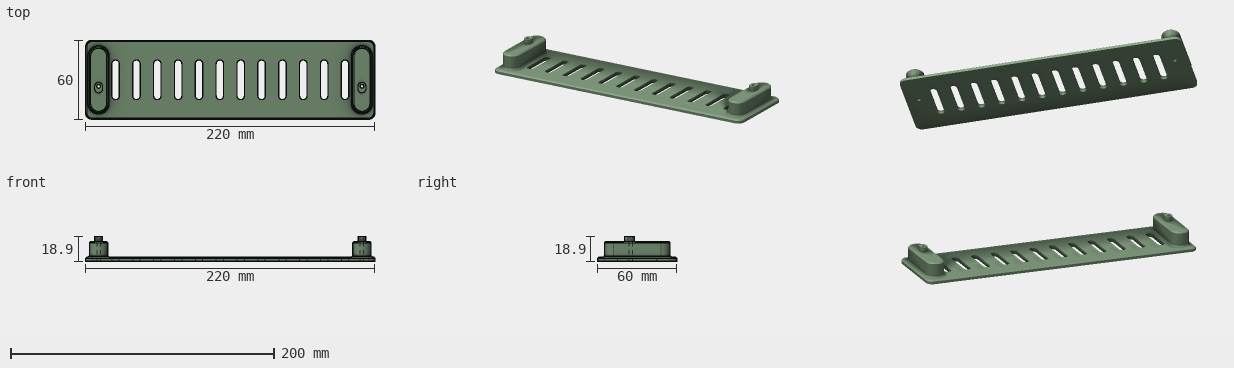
import cadquery as cq

plate_length = 220.0
plate_width = 60.0
plate_thickness = 3.0
plate_corner_radius = 5.0
plate_chamfer = 1.0

slot_count = 12
slot_pitch = 15.8
slot_length = 30.0
slot_width = 5.5

boss_length = 50.0
boss_width = 14.0
boss_height = 11.9
boss_spacing = 200.0
boss_chamfer = 1.0
foot_flare = 1.0
boss_center_x = boss_spacing / 2

pin_width = 6.0
pin_straight = 2.0
pin_length = pin_width + pin_straight
pin_height = 4.0
pin_center_y = -6.0
hole_diameter = 2.6
hole_center_y = pin_center_y + pin_straight / 2

boss_top = plate_thickness + boss_height
total_height = boss_top + pin_height


def oblong(length, width, height, center_x, center_y, bottom):
    """Round-ended solid with its long axis along Y."""
    return (
        cq.Workplane("XY", origin=(center_x, center_y, bottom))
        .slot2D(length, width, 90)
        .extrude(height)
    )


def base_plate():
    """Rounded plate with a chamfered top rim and a row of slots."""
    plate = (
        cq.Workplane("XY")
        .rect(plate_length, plate_width)
        .extrude(plate_thickness)
        .edges("|Z")
        .fillet(plate_corner_radius)
        .faces(">Z")
        .edges()
        .chamfer(plate_chamfer)
    )
    slots = (
        cq.Workplane("XY")
        .rarray(slot_pitch, 2.2, slot_count, 1)
        .slot2D(slot_length, slot_width, 90)
        .extrude(plate_thickness)
    )
    return plate.cut(slots)


def boss(center_x):
    """Boss with a chamfered top rim and a sloped foot."""
    body = oblong(boss_length, boss_width, boss_height, center_x, 0, plate_thickness)
    body = body.faces(">Z").edges().chamfer(boss_chamfer)
    foot = (
        cq.Workplane("XY", origin=(center_x, 0, plate_thickness))
        .slot2D(boss_length + 2 * foot_flare, boss_width + 2 * foot_flare, 90)
        .workplane(offset=foot_flare)
        .slot2D(boss_length, boss_width, 90)
        .loft(ruled=True)
    )
    return body.union(foot)


def pin(center_x):
    """Oblong pin standing on the boss, off center along Y."""
    return oblong(pin_length, pin_width, pin_height, center_x, pin_center_y, boss_top)


def pin_hole(center_x):
    """Hole through pin, boss and plate."""
    return (
        cq.Workplane("XY", origin=(center_x, hole_center_y, 0))
        .circle(hole_diameter / 2)
        .extrude(total_height)
    )


result = base_plate()
for boss_x in (-boss_center_x, boss_center_x):
    result = result.union(boss(boss_x)).union(pin(boss_x)).cut(pin_hole(boss_x))